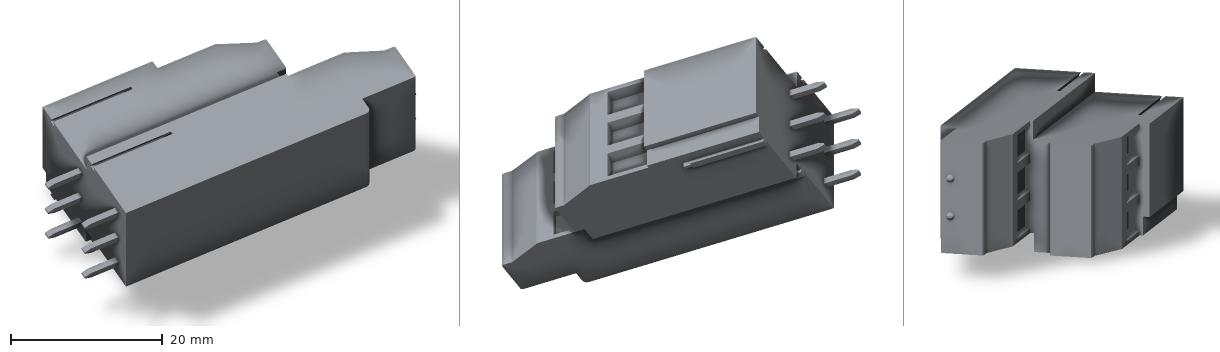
import cadquery as cq


pole_count = 3
pole_pitch = 5.1
row_shift = pole_pitch / 2
row_height = 15.15

overall_width = 23.1
overall_length = 50.3
overall_height = 18.35
flank_width = 1.35
flank_start = 16.45
foot_inset = 0.9
short_right = 11.95
tall_left = 12.1
tall_flank = 12.5
shoulder_y = 29.95
short_top = 31.4
tall_top = 44.7
short_nose_width = 5.75
tall_nose_width = 5.9
short_nose_setback = 2.35
tall_nose_setback = 2.2
nose_radius = 0.3
nose_bevel_x = 0.1
nose_bevel_y = 0.35
slope_lead = 0.1
short_slope_start = 25.15
short_slope_end = 30.05
tall_slope_start = 38.45
tall_slope_end = 43.15
tall_step_y = 36.65
tall_step_radius = 0.7

window_length = 6.05
window_height = 3.75
short_window_depth = 1.5
tall_window_depth = 0.7
short_window_roof_drop = 0.5
tall_window_roof_drop = 0.3
short_window_floor_rise = 0.3
tall_window_floor_rise = 0.25

pin_length = 5.05
pin_size = 0.9
pin_tip_length = 0.95
pin_tip_height = 0.3
short_pin_x = 10.4
tall_pin_x = 20.55

short_rib_x = 2.7
tall_rib_x = 13.85
rib_length = 11.85
rib_height = overall_height - row_shift - row_height
rib_foot_height = 0.2
rib_neck = 0.45
rib_foot = 1.0
rib_lead_length = 1.05

nub_x = 19.25
nub_base_radius = 0.55
nub_height = overall_length - pin_length - tall_top
nub_tip_half_width = 0.4
nub_tip_half_thickness = 0.15


def prism(points, z_bottom, height):
    return cq.Workplane("XY", origin=(0, 0, z_bottom)).polyline(points).close().extrude(height)


def block(x0, x1, y0, y1, z0, z1):
    return cq.Workplane("XY").box(x1 - x0, y1 - y0, z1 - z0, centered=False).translate((x0, y0, z0))


def rounded_at(body, x, y, radius):
    """Round the vertical edge that stands at (x, y)."""
    near = 0.025
    edge = cq.selectors.BoxSelector((x - near, y - near, 0), (x + near, y + near, overall_height))
    return body.edges("|Z").edges(edge).fillet(radius)


def short_housing():
    nose_left = flank_width + short_nose_setback
    nose_right = nose_left + short_nose_width
    body = prism(
        [
            (foot_inset, 0),
            (short_right, 0),
            (short_right, shoulder_y),
            (nose_right, shoulder_y),
            (nose_right, short_top),
            (nose_left + nose_bevel_x, short_top),
            (nose_left, short_top - nose_bevel_y),
            (nose_left, short_slope_end),
            (flank_width + slope_lead, short_slope_start + slope_lead),
            (flank_width, short_slope_start),
            (flank_width, flank_start),
            (foot_inset, flank_start),
        ],
        0,
        row_height,
    )
    body = rounded_at(body, nose_right, short_top, nose_radius)
    side_step = block(0, flank_width, 0, flank_start, row_shift, row_height)
    filler = block(short_right, tall_flank, 0, shoulder_y, row_shift, row_height)
    return body.union(side_step).union(filler)


def tall_housing():
    nose_left = tall_flank + tall_nose_setback
    nose_right = nose_left + tall_nose_width
    body = prism(
        [
            (tall_left, 0),
            (overall_width, 0),
            (overall_width, tall_step_y),
            (nose_right, tall_step_y),
            (nose_right, tall_top),
            (nose_left + nose_bevel_x, tall_top),
            (nose_left, tall_top - nose_bevel_y),
            (nose_left, tall_slope_end),
            (tall_flank + slope_lead, tall_slope_start + slope_lead),
            (tall_flank, tall_slope_start),
            (tall_flank, shoulder_y),
            (tall_left, shoulder_y),
        ],
        row_shift,
        row_height,
    )
    body = rounded_at(body, nose_right, tall_top, nose_radius)
    return rounded_at(body, overall_width, tall_step_y, tall_step_radius)


def window(face_x, y_start, z_center, depth, roof_drop, floor_rise):
    """Pocket whose roof and floor close in towards its back wall."""
    z_floor = z_center - window_height / 2
    z_roof = z_center + window_height / 2
    return (
        cq.Workplane("XZ", origin=(0, y_start, 0))
        .polyline(
            [
                (face_x, z_floor),
                (face_x + depth, z_floor + floor_rise),
                (face_x + depth, z_roof - roof_drop),
                (face_x, z_roof),
            ]
        )
        .close()
        .extrude(-window_length)
    )


def pin(x, z):
    half = pin_size / 2
    tip_half = pin_tip_height / 2
    taper_start = pin_tip_length - pin_length
    return (
        cq.Workplane("YZ", origin=(x - half, 0, z))
        .polyline(
            [
                (0, -half),
                (taper_start, -half),
                (-pin_length, -tip_half),
                (-pin_length, tip_half),
                (taper_start, half),
                (0, half),
            ]
        )
        .close()
        .extrude(pin_size)
    )


def dovetail(x, z_face):
    """Bar below z_face, running in from the base: a dovetail that ends in a plain neck."""
    z_foot = z_face - rib_height
    profile = [
        (x - rib_neck / 2, z_face),
        (x - rib_foot / 2, z_foot + rib_foot_height),
        (x - rib_foot / 2, z_foot),
        (x + rib_foot / 2, z_foot),
        (x + rib_foot / 2, z_foot + rib_foot_height),
        (x + rib_neck / 2, z_face),
    ]
    foot = cq.Workplane("XZ").polyline(profile).close().extrude(-(rib_length - rib_lead_length))
    neck = block(x - rib_neck / 2, x + rib_neck / 2, 0, rib_length, z_foot, z_face)
    return foot.union(neck)


def nub(z):
    """Round-based bump that narrows to a ridge along X."""
    return (
        cq.Workplane("XZ", origin=(nub_x, tall_top, z))
        .circle(nub_base_radius)
        .workplane(offset=-nub_height)
        .ellipse(nub_tip_half_width, nub_tip_half_thickness)
        .loft()
    )


result = short_housing().union(tall_housing())

for pole in range(pole_count):
    short_z = row_height / 2 + (pole - (pole_count - 1) / 2) * pole_pitch
    tall_z = short_z + row_shift
    short_window = window(
        flank_width,
        flank_start,
        short_z,
        short_window_depth,
        short_window_roof_drop,
        short_window_floor_rise,
    )
    tall_window = window(
        tall_flank,
        shoulder_y,
        tall_z,
        tall_window_depth,
        tall_window_roof_drop,
        tall_window_floor_rise,
    )
    result = result.cut(short_window).cut(tall_window)
    result = result.union(pin(short_pin_x, short_z)).union(pin(tall_pin_x, tall_z))

for rib_x, z_bottom in ((short_rib_x, 0), (tall_rib_x, row_shift)):
    result = result.union(dovetail(rib_x, z_bottom))
    result = result.cut(dovetail(rib_x, z_bottom + row_height))

for gap in range(pole_count - 1):
    result = result.union(nub(row_height / 2 + gap * pole_pitch))